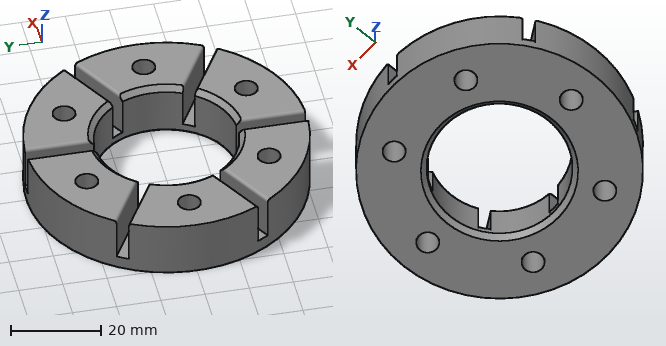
import cadquery as cq

outer_diameter = 63.5
bore_diameter = 32.25
height = 13.2
bore_chamfer = 1.3

segment_count = 6
slot_width = 2.85
slot_depth = 10.15
slot_edge_radius = 0.75

hole_diameter = 5.1
hole_circle_diameter = 47.6


def make_ring():
    """Flat ring with a chamfer around both ends of the bore."""
    ring = (
        cq.Workplane("XY")
        .circle(outer_diameter / 2)
        .circle(bore_diameter / 2)
        .extrude(height)
    )
    bore_edges = cq.selectors.RadiusNthSelector(0)
    return ring.faces("<Z or >Z").edges(bore_edges).chamfer(bore_chamfer)


def make_channel(angle):
    """Channel across the whole ring, flared so it rounds over the slot's top edges, turned about Z."""
    half_width = slot_width / 2
    mouth_half_width = half_width + slot_edge_radius
    floor_z = height - slot_depth
    round_start_z = height - slot_edge_radius
    channel = (
        cq.Workplane("XZ")
        .moveTo(-half_width, floor_z)
        .lineTo(half_width, floor_z)
        .lineTo(half_width, round_start_z)
        .radiusArc((mouth_half_width, height), slot_edge_radius)
        .lineTo(-mouth_half_width, height)
        .radiusArc((-half_width, round_start_z), slot_edge_radius)
        .close()
        .extrude(outer_diameter, both=True)
    )
    return channel.rotate((0, 0, 0), (0, 0, 1), angle)


def make_holes():
    """Cylinders for the through holes, starting on the X axis."""
    return (
        cq.Workplane("XY")
        .polarArray(hole_circle_diameter / 2, 0, 360, segment_count)
        .circle(hole_diameter / 2)
        .extrude(height)
    )


result = make_ring().cut(make_holes())
for index in range(segment_count // 2):
    result = result.cut(make_channel(index * 360 / segment_count))